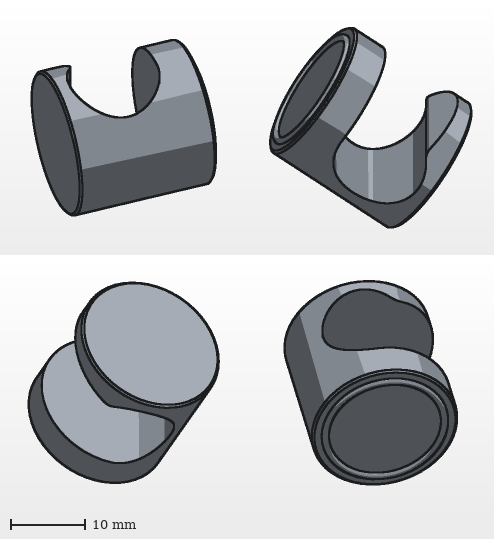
import cadquery as cq
import math

DIAMETER = 20.0
TOTAL_LENGTH = 20.0
RING_PROTRUSION = 0.5
BODY_LENGTH = TOTAL_LENGTH - RING_PROTRUSION
EDGE_CHAMFER = 0.3

FRONT_WALL = 2.0
OPENING_DIAMETER = 12.5
LIP_EDGE_THICKNESS = 2.5
LIP_ANGLE = 15.0
LIP_TIP_RADIUS = 1.5

RING_SECTION_RADIUS = RING_PROTRUSION
RING_OUTER_DIAMETER = 17.4

radius = DIAMETER / 2
front_y = -TOTAL_LENGTH / 2
back_y = front_y + BODY_LENGTH
opening_radius = OPENING_DIAMETER / 2
opening_y = front_y + FRONT_WALL + opening_radius


def make_opening():
    """Cutter for the opening: straight back side, round end, rounded lip and sloping mouth."""
    slope = math.radians(LIP_ANGLE)
    mouth_y = front_y + LIP_EDGE_THICKNESS

    mouth_across = radius * math.sin(slope) + (mouth_y - opening_y) * math.cos(slope)
    tip_across = mouth_across - LIP_TIP_RADIUS
    centre_distance = opening_radius + LIP_TIP_RADIUS
    tip_along = -math.sqrt(centre_distance**2 - tip_across**2)
    tip_x = tip_along * math.cos(slope) - tip_across * math.sin(slope)
    tip_y = opening_y + tip_along * math.sin(slope) + tip_across * math.cos(slope)

    slope_angle = math.pi / 2 + slope
    round_end_angle = math.atan2(opening_y - tip_y, -tip_x)

    def tip_point(angle):
        return tip_x + LIP_TIP_RADIUS * math.cos(angle), tip_y + LIP_TIP_RADIUS * math.sin(angle)

    return (
        cq.Workplane("XY", origin=(0, 0, -radius))
        .moveTo(-radius, opening_y + opening_radius)
        .lineTo(0, opening_y + opening_radius)
        .threePointArc((opening_radius, opening_y), tip_point(round_end_angle))
        .threePointArc(tip_point((slope_angle + round_end_angle) / 2), tip_point(slope_angle))
        .lineTo(-radius, mouth_y)
        .close()
        .extrude(DIAMETER)
    )


def make_ring():
    """Ring around the Y axis, with the centre of its section on the back face."""
    centreline_radius = RING_OUTER_DIAMETER / 2 - RING_SECTION_RADIUS
    return (
        cq.Workplane("XY")
        .center(centreline_radius, back_y)
        .circle(RING_SECTION_RADIUS)
        .revolve(360, (-centreline_radius, 0), (-centreline_radius, 1))
    )


def make_hook():
    """Chamfered bar with the side opening and a groove that seats the ring."""
    bar = (
        cq.Workplane("XZ", origin=(0, front_y, 0))
        .circle(radius)
        .extrude(-BODY_LENGTH)
        .edges()
        .chamfer(EDGE_CHAMFER)
    )
    return bar.cut(make_opening()).cut(make_ring())


hook = make_hook()
ring = make_ring()
result = cq.Compound.makeCompound([hook.val(), ring.val()])